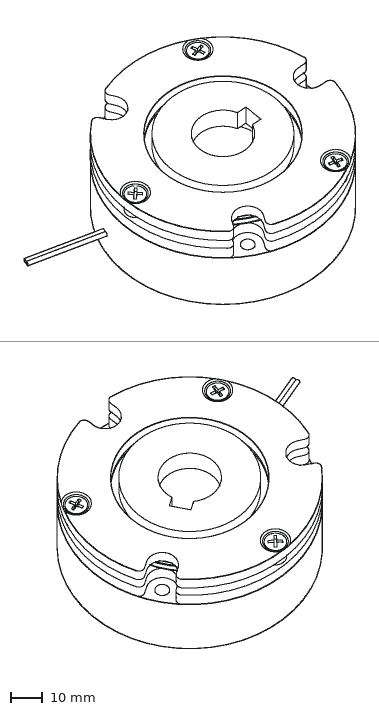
import cadquery as cq
import math

TOTAL_LENGTH = 110.0
OUTER_DIAMETER = 84.0
OUTER_RADIUS = OUTER_DIAMETER / 2
HOUSING_TOP = 22.1
ARMATURE_TOP = 26.6
COVER_BOTTOM = 30.3
COVER_TOP = 34.4
HUB_TOP = 34.8
HOUSING_BASE_CHAMFER = 0.4
HOUSING_TOP_CHAMFER = 0.1

HUB_DIAMETER = 44.9
SHAFT_DIAMETER = 20.0
KEYWAY_WIDTH = 7.0
KEYWAY_REACH = 13.0
LINING_DIAMETER = 64.3
LINING_BORE = 50.0
CARRIER_DIAMETER = 65.1
HUB_BOTTOM = 27.3
CARRIER_BOTTOM = 27.5
CARRIER_TOP = 29.3

COVER_BORE = 50.0
COVER_CHAMFER = 0.1
INNER_BORE = 31.2

MOUNT_ANGLES = (90, 210, 330)
MOUNT_RADIUS = 37.0
MOUNT_HOLE_DIAMETER = 4.6
NOTCH_WIDTH = 10.2
NOTCH_CORNER_RADIUS = 2.0

SCREW_ANGLES = (30, 150, 270)
SCREW_RADIUS = 37.4
SCREW_SHANK_DIAMETER = 7.2
COUNTERSINK_DIAMETER = 9.6
HEAD_DIAMETER = 8.1
HEAD_DEPTH = 0.4
HEAD_FACE = COVER_TOP - HEAD_DEPTH
CONE_SLOPE = HEAD_DEPTH / (COUNTERSINK_DIAMETER - HEAD_DIAMETER)
CONE_BOTTOM = HEAD_FACE - CONE_SLOPE * (HEAD_DIAMETER - SCREW_SHANK_DIAMETER)
CROSS_LENGTH = 4.6
CROSS_WIDTH = 0.9
CROSS_DEPTH = 1.7
CROSS_TURN = 45

CABLE_ANGLE = 255
CABLE_HEIGHT = 9.5
CABLE_ROOT_RADIUS = 37.4
WIRE_DIAMETER = 1.5
WIRE_PITCH = 1.4
CABLE_WIDTH = WIRE_DIAMETER + WIRE_PITCH
CABLE_TILT = math.radians(270 - CABLE_ANGLE)
CABLE_END_RADIUS = (
    TOTAL_LENGTH - OUTER_RADIUS - CABLE_WIDTH / 2 * math.sin(CABLE_TILT)
) / math.cos(CABLE_TILT)


def cylinder(diameter, bottom, top):
    return cq.Workplane("XY").workplane(offset=bottom).circle(diameter / 2).extrude(top - bottom)


def at_polar(shape, radius, angle):
    """Move a shape from the origin out along X, then turn it about the Z axis."""
    return shape.translate((radius, 0, 0)).rotate((0, 0, 0), (0, 0, 1), angle)


def screw_envelope(face_diameter, face_height):
    """Straight shank standing on the housing, flaring out to a flat face at the given height."""
    return (
        cq.Workplane("XZ")
        .moveTo(0, HOUSING_TOP)
        .lineTo(SCREW_SHANK_DIAMETER / 2, HOUSING_TOP)
        .lineTo(SCREW_SHANK_DIAMETER / 2, CONE_BOTTOM)
        .lineTo(face_diameter / 2, face_height)
        .lineTo(0, face_height)
        .close()
        .revolve(360, (0, 0, 0), (0, 1, 0))
    )


def make_screw(angle):
    screw = screw_envelope(HEAD_DIAMETER, HEAD_FACE)
    for arm_angle in (CROSS_TURN, CROSS_TURN + 90):
        arm = (
            cq.Workplane("XY")
            .workplane(offset=HEAD_FACE - CROSS_DEPTH)
            .rect(CROSS_LENGTH, CROSS_WIDTH)
            .extrude(CROSS_DEPTH)
            .rotate((0, 0, 0), (0, 0, 1), arm_angle)
        )
        screw = screw.cut(arm)
    return at_polar(screw, SCREW_RADIUS, angle)


def make_screw_seat(angle):
    """Space for one screw, with its cone carried on up to the cover face."""
    return at_polar(screw_envelope(COUNTERSINK_DIAMETER, COVER_TOP), SCREW_RADIUS, angle)


def make_notched_disc(bottom, top):
    """Disc with a round-ended notch, open at the rim, around each mounting hole."""
    plate = cylinder(OUTER_DIAMETER, bottom, top)
    for angle in MOUNT_ANGLES:
        round_end = cylinder(NOTCH_WIDTH, bottom, top)
        mouth = (
            cq.Workplane("XY")
            .workplane(offset=bottom)
            .rect(OUTER_RADIUS, NOTCH_WIDTH)
            .extrude(top - bottom)
            .translate((OUTER_RADIUS / 2, 0, 0))
        )
        plate = plate.cut(at_polar(round_end.union(mouth), MOUNT_RADIUS, angle))

    mouth_half_angle = math.degrees(math.asin(NOTCH_WIDTH / OUTER_DIAMETER))
    middle = (bottom + top) / 2
    for angle in MOUNT_ANGLES:
        for side in (-1, 1):
            direction = math.radians(angle + side * mouth_half_angle)
            corner = (OUTER_RADIUS * math.cos(direction), OUTER_RADIUS * math.sin(direction), middle)
            plate = plate.edges(cq.NearestToPointSelector(corner)).fillet(NOTCH_CORNER_RADIUS)
    return plate


def cut_screw_seats(plate):
    for angle in SCREW_ANGLES:
        plate = plate.cut(make_screw_seat(angle))
    return plate


def make_armature():
    bore = cylinder(INNER_BORE, HOUSING_TOP, ARMATURE_TOP)
    return cut_screw_seats(make_notched_disc(HOUSING_TOP, ARMATURE_TOP).cut(bore))


def make_cover():
    """Notched ring whose rim and bore edges are broken on the upper face only."""
    bore = cylinder(COVER_BORE, COVER_BOTTOM, COVER_TOP)
    ring = cylinder(OUTER_DIAMETER, COVER_BOTTOM, COVER_TOP).cut(bore)
    ring = ring.faces(">Z").edges().chamfer(COVER_CHAMFER)
    return cut_screw_seats(make_notched_disc(COVER_BOTTOM, COVER_TOP).intersect(ring))


def make_cable():
    cable = cq.Workplane("YZ")
    for side in (-1, 1):
        wire = (
            cq.Workplane("YZ", origin=(CABLE_ROOT_RADIUS, side * WIRE_PITCH / 2, CABLE_HEIGHT))
            .circle(WIRE_DIAMETER / 2)
            .extrude(CABLE_END_RADIUS - CABLE_ROOT_RADIUS)
        )
        cable = cable.union(wire)
    return cable.rotate((0, 0, 0), (0, 0, 1), CABLE_ANGLE)


def make_housing(cable):
    housing = cylinder(OUTER_DIAMETER, 0, HOUSING_TOP)
    housing = housing.edges("<Z").chamfer(HOUSING_BASE_CHAMFER)
    housing = housing.edges(">Z").chamfer(HOUSING_TOP_CHAMFER)
    housing = housing.cut(cylinder(INNER_BORE, 0, HOUSING_TOP))
    for angle in MOUNT_ANGLES:
        mount_hole = cylinder(MOUNT_HOLE_DIAMETER, 0, HOUSING_TOP)
        housing = housing.cut(at_polar(mount_hole, MOUNT_RADIUS, angle))
    return housing.cut(cable)


def make_rotor():
    """Hub and carrier disc, with a friction lining ring on either side of the carrier."""
    linings = cylinder(LINING_DIAMETER, ARMATURE_TOP, COVER_BOTTOM).cut(
        cylinder(LINING_BORE, ARMATURE_TOP, COVER_BOTTOM)
    )
    carrier = cylinder(CARRIER_DIAMETER, CARRIER_BOTTOM, CARRIER_TOP)
    hub = cylinder(HUB_DIAMETER, HUB_BOTTOM, HUB_TOP)
    shaft_hole = cylinder(SHAFT_DIAMETER, HUB_BOTTOM, HUB_TOP)
    keyway = (
        cq.Workplane("XY")
        .workplane(offset=HUB_BOTTOM)
        .rect(KEYWAY_WIDTH, KEYWAY_REACH)
        .extrude(HUB_TOP - HUB_BOTTOM)
        .translate((0, KEYWAY_REACH / 2, 0))
    )
    return linings.union(carrier).union(hub).cut(shaft_hole).cut(keyway)


screws = [make_screw(angle) for angle in SCREW_ANGLES]
cable = make_cable()
housing = make_housing(cable)
armature = make_armature()
rotor = make_rotor()
cover = make_cover()

bodies = [housing, cable, armature, rotor, cover, *screws]
result = cq.Compound.makeCompound([body.val() for body in bodies])